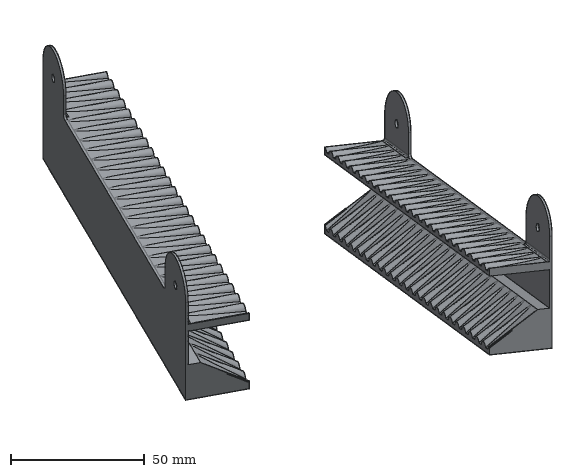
import cadquery as cq
import math

plate_length = 172.0
plate_thickness = 1.0
height = 56.1
tab_radius = 12.5
tab_hole_diameter = 3.1
notch_fillet = 1.5

depth = 25.0
shelf_top = 33.9
shelf_thickness = 3.1
shelf_fillet = 1.0
ramp_top = 15.7
ramp_front_height = 3.5
landing_depth = 4.8

ridge_pitch = 6.9
ridge_spaces = 25
ridge_radius = 2.6
ridge_front_height = 1.7

sliver_depth = 8.8
sliver_height = 0.5

tab_width = 2 * tab_radius
tab_center_z = height - tab_radius
landing_front = plate_thickness + landing_depth
ridge_overhang = (ridge_spaces * ridge_pitch - plate_length) / 2
ramp_slope = (ramp_top - ramp_front_height) / (depth - landing_front)


def extrude_along_x(outline, start_x, length):
    """Extrude a closed outline of (y, z) points toward +X."""
    return cq.Workplane("YZ", origin=(start_x, 0, 0)).polyline(outline).close().extrude(length)


def make_back_plate():
    plate = cq.Workplane("XY").box(plate_length, plate_thickness, shelf_top, centered=False)
    tab_centers = (tab_radius, plate_length - tab_radius)
    for center_x in tab_centers:
        tab = (
            cq.Workplane("XZ", origin=(center_x, 0, 0))
            .moveTo(-tab_radius, 0)
            .lineTo(-tab_radius, tab_center_z)
            .threePointArc((0, height), (tab_radius, tab_center_z))
            .lineTo(tab_radius, 0)
            .close()
            .extrude(-plate_thickness)
        )
        plate = plate.union(tab)
    for corner_x in (tab_width, plate_length - tab_width):
        corner = (corner_x, plate_thickness / 2, shelf_top)
        plate = plate.edges(cq.NearestToPointSelector(corner)).fillet(notch_fillet)
    holes = (
        cq.Workplane("XZ")
        .pushPoints([(center_x, tab_center_z) for center_x in tab_centers])
        .circle(tab_hole_diameter / 2)
        .extrude(-plate_thickness)
    )
    return plate.cut(holes)


def make_ridged_body(back_y, back_z, front_z, bottom_z):
    """Block whose ridge crests run from (back_y, back_z) to front_z at the front face.

    The flats start at the same back line and end ridge_front_height lower at the front.
    """

    def make_block(front_top_z):
        outline = [
            (0, bottom_z),
            (depth, bottom_z),
            (depth, front_top_z),
            (back_y, back_z),
            (0, back_z),
        ]
        return extrude_along_x(outline, 0, plate_length)

    run = depth - back_y
    drop = back_z - front_z
    length = math.hypot(run, drop)
    axis_y = back_y - ridge_radius * drop / length
    axis_z = back_z - ridge_radius * run / length
    crest_block = make_block(front_z)
    body = make_block(front_z - ridge_front_height)
    for index in range(ridge_spaces + 1):
        start = cq.Vector(index * ridge_pitch - ridge_overhang, axis_y, axis_z)
        ridge = cq.Solid.makeCylinder(
            ridge_radius, length + ridge_radius, start, cq.Vector(0, run, -drop)
        )
        body = body.union(crest_block.intersect(cq.Workplane(ridge)))
    return body


def make_shelf():
    return make_ridged_body(plate_thickness, shelf_top, shelf_top, shelf_top - shelf_thickness)


def make_ramp():
    return make_ridged_body(landing_front, ramp_top, ramp_front_height, 0)


def make_shelf_fillet(start_x):
    """Concave fillet between the shelf and the tab that starts at start_x."""
    corner_y = plate_thickness
    blend = shelf_fillet * (1 - math.sqrt(0.5))
    return (
        cq.Workplane("YZ", origin=(start_x, 0, 0))
        .moveTo(corner_y, shelf_top)
        .lineTo(corner_y + shelf_fillet, shelf_top)
        .threePointArc((corner_y + blend, shelf_top + blend), (corner_y, shelf_top + shelf_fillet))
        .close()
        .extrude(tab_width)
    )


def make_sliver(start_x):
    """Thin strip along the ridge crest at the front of the ramp."""
    sliver_back = depth - sliver_depth
    sliver_back_z = ramp_front_height + ramp_slope * sliver_depth
    outline = [
        (depth, ramp_front_height - sliver_height),
        (depth, ramp_front_height),
        (sliver_back, sliver_back_z),
        (sliver_back, sliver_back_z - sliver_height),
    ]
    return extrude_along_x(outline, start_x, ridge_overhang)


result = make_back_plate().union(make_shelf()).union(make_ramp())
for fillet_start in (0, plate_length - tab_width):
    result = result.union(make_shelf_fillet(fillet_start))
for sliver_start in (-ridge_overhang, plate_length):
    result = result.union(make_sliver(sliver_start))